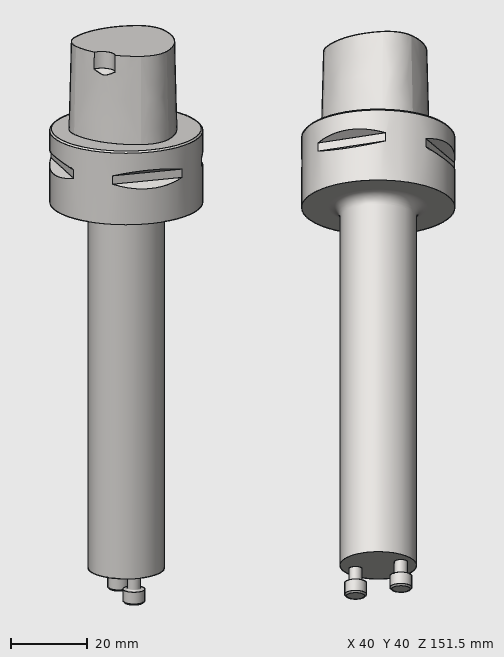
import cadquery as cq
import math

overall_length = 151.5
shank_length = 24.0
flange_length = 20.0
screw_reach = 7.5
shaft_end_z = shank_length + screw_reach - overall_length

flange_diameter = 40.0
flange_radius = flange_diameter / 2
flange_chamfer = 0.5
shaft_diameter = 20.0
shaft_radius = shaft_diameter / 2

neck_fillet = 2.9

shank_width = 28.2
lobe_center_radius = 6.4
width_taper = 1 / 20
shank_taper = math.degrees(math.atan(width_taper / 2))
lobe_radius = (shank_width - math.sqrt(3) * lobe_center_radius) / 2
flank_radius = shank_width - lobe_radius
lobe_angles = (90, 210, 330)
lobe_spacing = 120
lobe_half_angle = lobe_spacing / 4

keyway_radius = 3.5
keyway_axis_y = -14.1
keyway_depth = 4.5
keyway_cone_height = 1.8

groove_angles = (45, 135, 225, 315)
groove_center_z = -7.9
groove_floor_distance = 17.5
groove_floor_height = 2.3
groove_wall_angle = 30

screw_offset = 4.5
screw_positions = [(screw_offset, -screw_offset), (-screw_offset, screw_offset)]
stem_diameter = 3.5
head_diameter = 5.8
head_height = 3.6
head_chamfer = 0.5
head_fillet = 0.3


def polar(radius, angle):
    return (radius * math.cos(math.radians(angle)), radius * math.sin(math.radians(angle)))


def lobe_point(lobe_angle, offset_angle):
    """Point on a lobe arc whose normal is turned by offset_angle from the lobe direction."""
    center_x, center_y = polar(lobe_center_radius, lobe_angle)
    reach_x, reach_y = polar(lobe_radius, lobe_angle + offset_angle)
    return (center_x + reach_x, center_y + reach_y)


def make_shank():
    outline = cq.Workplane("XY").moveTo(*lobe_point(lobe_angles[0], -lobe_half_angle))
    for angle in lobe_angles:
        lobe_tip = lobe_point(angle, 0)
        lobe_end = lobe_point(angle, lobe_half_angle)
        flank_middle = polar(flank_radius - lobe_center_radius, angle + lobe_spacing / 2)
        next_lobe_start = lobe_point(angle + lobe_spacing, -lobe_half_angle)
        outline = outline.threePointArc(lobe_tip, lobe_end).threePointArc(flank_middle, next_lobe_start)
    return outline.close().extrude(shank_length, taper=shank_taper)


def make_keyway():
    floor_z = shank_length - keyway_depth
    profile = (
        cq.Workplane("XZ")
        .moveTo(0, shank_length)
        .lineTo(keyway_radius, shank_length)
        .lineTo(keyway_radius, floor_z)
        .lineTo(0, floor_z - keyway_cone_height)
        .close()
    )
    return profile.revolve(360, (0, 0), (0, 1)).translate((0, keyway_axis_y, 0))


def make_flange():
    flange = cq.Workplane("XY").circle(flange_radius).extrude(-flange_length)
    return flange.faces(">Z").edges().chamfer(flange_chamfer)


def make_groove():
    """Straight groove across the +X side, with a flat floor and sloping walls."""
    depth = flange_radius - groove_floor_distance
    half_floor = groove_floor_height / 2
    half_mouth = half_floor + depth * math.tan(math.radians(groove_wall_angle))
    return (
        cq.Workplane("XZ")
        .moveTo(groove_floor_distance, groove_center_z - half_floor)
        .lineTo(flange_radius, groove_center_z - half_mouth)
        .lineTo(flange_radius, groove_center_z + half_mouth)
        .lineTo(groove_floor_distance, groove_center_z + half_floor)
        .close()
        .extrude(flange_radius, both=True)
    )


def make_shaft():
    neck_top_z = -flange_length
    return (
        cq.Workplane("XZ")
        .moveTo(0, neck_top_z)
        .lineTo(shaft_radius + neck_fillet, neck_top_z)
        .radiusArc((shaft_radius, neck_top_z - neck_fillet), -neck_fillet)
        .lineTo(shaft_radius, shaft_end_z)
        .lineTo(0, shaft_end_z)
        .close()
        .revolve(360, (0, 0), (0, 1))
    )


def make_screw():
    """Screw hanging down from Z = 0, with a small fillet where the stem meets the head."""
    stem_radius = stem_diameter / 2
    head_radius = head_diameter / 2
    head_top_z = head_height - screw_reach
    return (
        cq.Workplane("XZ")
        .moveTo(0, 0)
        .lineTo(stem_radius, 0)
        .lineTo(stem_radius, head_top_z + head_fillet)
        .radiusArc((stem_radius + head_fillet, head_top_z), -head_fillet)
        .lineTo(head_radius, head_top_z)
        .lineTo(head_radius, head_chamfer - screw_reach)
        .lineTo(head_radius - head_chamfer, -screw_reach)
        .lineTo(0, -screw_reach)
        .close()
        .revolve(360, (0, 0), (0, 1))
    )


result = make_flange().union(make_shank().cut(make_keyway())).union(make_shaft())

groove = make_groove()
for groove_angle in groove_angles:
    result = result.cut(groove.rotate((0, 0, 0), (0, 0, 1), groove_angle))

screw = make_screw()
for screw_x, screw_y in screw_positions:
    result = result.union(screw.translate((screw_x, screw_y, shaft_end_z)))